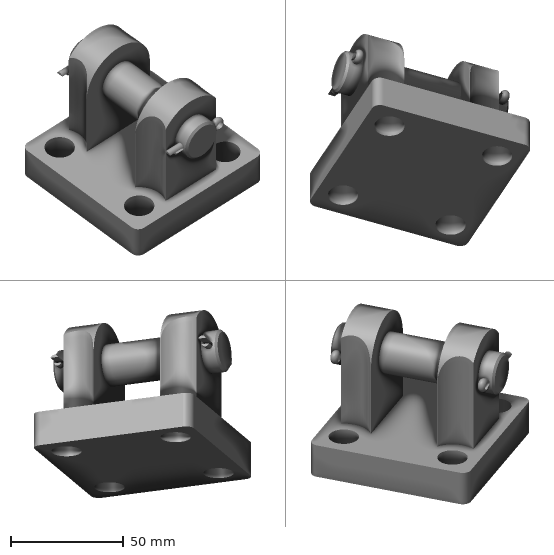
import cadquery as cq
import math

plate_side = 76.2
plate_thickness = 15.85
corner_radius = 3.85
hole_diameter = 13.5
hole_offset = 26.05
hole_points = [(x, y) for x in (-hole_offset, hole_offset) for y in (-hole_offset, hole_offset)]

total_height = 66.6
lug_radius = 19.1
lug_inner_x = 15.85
lug_thickness = 15.85
relief_radius = 12.25

pin_length = 78.5
pin_radius = 9.5
pin_chamfer = 1.0
pin_z = total_height - lug_radius

cotter_x = 35.3
cotter_radius = 1.9
half_gap = 0.6
long_leg_end = -17.5
short_leg_end = -13.4
knee_y = pin_radius
eye_y = 12.7
eye_inner_radius = 1.9

knee_to_eye = math.hypot(eye_y - knee_y, half_gap)
neck_length = math.sqrt(knee_to_eye**2 - eye_inner_radius**2)
neck_angle = math.asin(eye_inner_radius / knee_to_eye) - math.atan2(half_gap, eye_y - knee_y)
eye_sweep = 180 + 2 * math.degrees(neck_angle)


def make_plate():
    plate = cq.Workplane("XY").box(plate_side, plate_side, plate_thickness, centered=(True, True, False))
    plate = plate.edges("|Z").fillet(corner_radius)
    return plate.faces(">Z").workplane().pushPoints(hole_points).hole(hole_diameter)


def make_lug(start_x):
    lug = (
        cq.Workplane("YZ", origin=(start_x, 0, 0))
        .moveTo(-lug_radius, plate_thickness)
        .lineTo(lug_radius, plate_thickness)
        .lineTo(lug_radius, pin_z)
        .threePointArc((0, total_height), (-lug_radius, pin_z))
        .close()
        .extrude(lug_thickness)
    )
    reliefs = (
        cq.Workplane("XY", origin=(0, 0, plate_thickness))
        .pushPoints(hole_points)
        .circle(relief_radius)
        .extrude(total_height)
    )
    return lug.cut(reliefs)


def make_pin():
    pin = cq.Workplane("YZ", origin=(-pin_length / 2, 0, pin_z)).circle(pin_radius).extrude(pin_length)
    return pin.faces("<X or >X").chamfer(pin_chamfer)


def wire_section(plane):
    """Circular segment whose flat lies on the local X axis and bulges along local +Y."""
    half_width = math.sqrt(cotter_radius**2 - half_gap**2)
    return (
        cq.Workplane(plane)
        .moveTo(-half_width, 0)
        .threePointArc((0, cotter_radius - half_gap), (half_width, 0))
        .close()
    )


def section_plane(y, z, angle):
    """Plane across a wire heading toward +Y and tilted up by angle (radians)."""
    heading = (0, math.cos(angle), math.sin(angle))
    return cq.Plane(origin=(0, y, z), xDir=(-1, 0, 0), normal=heading)


def make_half(leg_end):
    leg = wire_section(section_plane(leg_end, half_gap, 0)).extrude(knee_y - leg_end)
    neck = wire_section(section_plane(knee_y, half_gap, neck_angle)).extrude(neck_length)
    return leg.union(neck)


def make_cotter(x):
    upper_half = make_half(long_leg_end)
    lower_half = make_half(short_leg_end).mirror("XY")
    tangent_y = knee_y + neck_length * math.cos(neck_angle)
    tangent_z = half_gap + neck_length * math.sin(neck_angle)
    eye = wire_section(section_plane(tangent_y, tangent_z, neck_angle)).revolve(
        eye_sweep, (-0.8, -eye_inner_radius), (0.8, -eye_inner_radius)
    )
    cotter = upper_half.union(eye).union(lower_half)
    return cotter.translate((x, 0, pin_z))


def make_cotter_bore(x):
    return cq.Workplane("XZ", origin=(x, pin_radius, pin_z)).circle(cotter_radius).extrude(2 * pin_radius)


cotters = [make_cotter(x) for x in (-cotter_x, cotter_x)]

bracket = make_plate()
for lug_start in (-lug_inner_x - lug_thickness, lug_inner_x):
    bracket = bracket.union(make_lug(lug_start))
bracket = bracket.union(make_pin())
for bore_x in (-cotter_x, cotter_x):
    bracket = bracket.cut(make_cotter_bore(bore_x))
for cotter in cotters:
    bracket = bracket.cut(cotter)

result = cq.Compound.makeCompound([solid for body in [bracket, *cotters] for solid in body.solids().vals()])